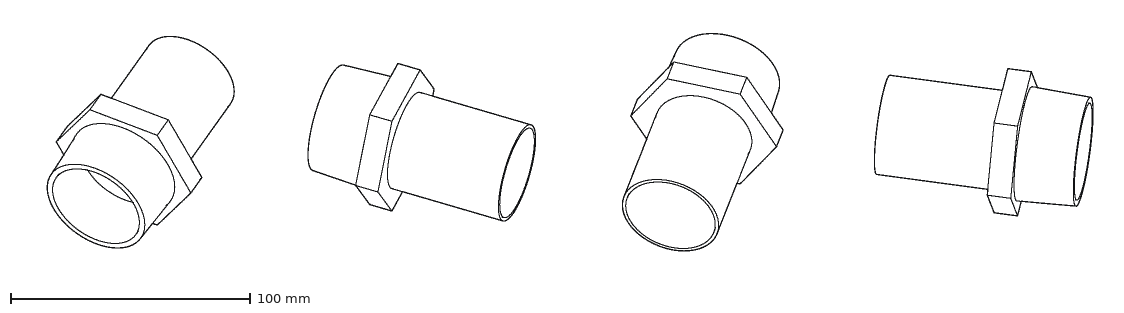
import cadquery as cq
import math

total_length = 85.0
taper_length = 25.0
collar_thickness = 10.0
pipe_length = total_length - taper_length - collar_thickness

across_flats = 55.0
across_corners = across_flats / math.cos(math.pi / 6)
taper_tip_diameter = 46.1
taper_root_diameter = 48.3
pipe_diameter = 42.0
front_bore_diameter = 41.0
rear_bore_diameter = 39.0

collar_start = taper_length
pipe_start = collar_start + collar_thickness

front_bore_overrun = 0.8
front_bore_depth = taper_length + front_bore_overrun
rear_bore_depth = pipe_length


def plane_at(y):
    """XZ plane at the given Y, with its normal along +Y."""
    return cq.Workplane(cq.Plane(origin=(0, y, 0), xDir=(1, 0, 0), normal=(0, 1, 0)))


def cylinder(start, length, diameter):
    return plane_at(start).circle(diameter / 2).extrude(length)


def tapered_end():
    return (
        plane_at(0)
        .circle(taper_tip_diameter / 2)
        .workplane(offset=taper_length)
        .circle(taper_root_diameter / 2)
        .loft(ruled=True)
    )


def hexagonal_collar():
    return (
        plane_at(collar_start)
        .polygon(6, across_corners)
        .extrude(collar_thickness)
    )


body = (
    tapered_end()
    .union(hexagonal_collar())
    .union(cylinder(pipe_start, pipe_length, pipe_diameter))
)
front_bore = cylinder(0, front_bore_depth, front_bore_diameter)
rear_bore = cylinder(pipe_start, rear_bore_depth, rear_bore_diameter)

result = body.cut(front_bore).cut(rear_bore)